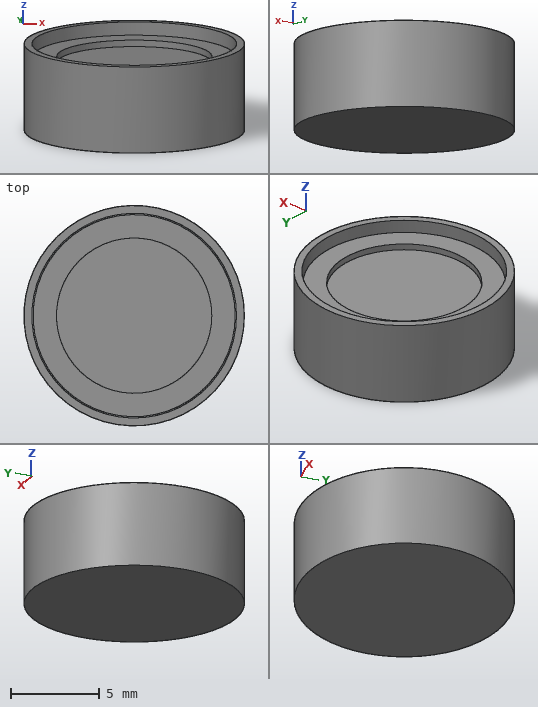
import cadquery as cq

HOUSING_RADIUS = 6.25
HOUSING_HEIGHT = 5.0
WALL_THICKNESS = 0.45
FLOOR_THICKNESS = 0.5
BORE_RADIUS = HOUSING_RADIUS - WALL_THICKNESS

RADIAL_CLEARANCE = 0.08
INSERT_RADIUS = BORE_RADIUS - RADIAL_CLEARANCE
RING_HOLE_RADIUS = 4.4
RING_THICKNESS = 0.38
RING_RECESS = 0.75

RING_TOP = HOUSING_HEIGHT - RING_RECESS
DISC_TOP = RING_TOP - RING_THICKNESS


def cylinder(radius, bottom, top):
    """Upright cylinder on the Z axis between two heights."""
    return cq.Workplane("XY").workplane(offset=bottom).circle(radius).extrude(top - bottom)


def make_housing():
    """Cup with a flat floor."""
    body = cylinder(HOUSING_RADIUS, 0, HOUSING_HEIGHT)
    bore = cylinder(BORE_RADIUS, FLOOR_THICKNESS, HOUSING_HEIGHT)
    return body.cut(bore)


def make_disc():
    """Solid disc resting on the housing floor."""
    return cylinder(INSERT_RADIUS, FLOOR_THICKNESS, DISC_TOP)


def make_ring():
    """Flat ring resting on the disc, flush with its outer edge."""
    body = cylinder(INSERT_RADIUS, DISC_TOP, RING_TOP)
    hole = cylinder(RING_HOLE_RADIUS, DISC_TOP, RING_TOP)
    return body.cut(hole)


housing = make_housing()
disc = make_disc()
ring = make_ring()

result = cq.Compound.makeCompound([housing.val(), disc.val(), ring.val()])